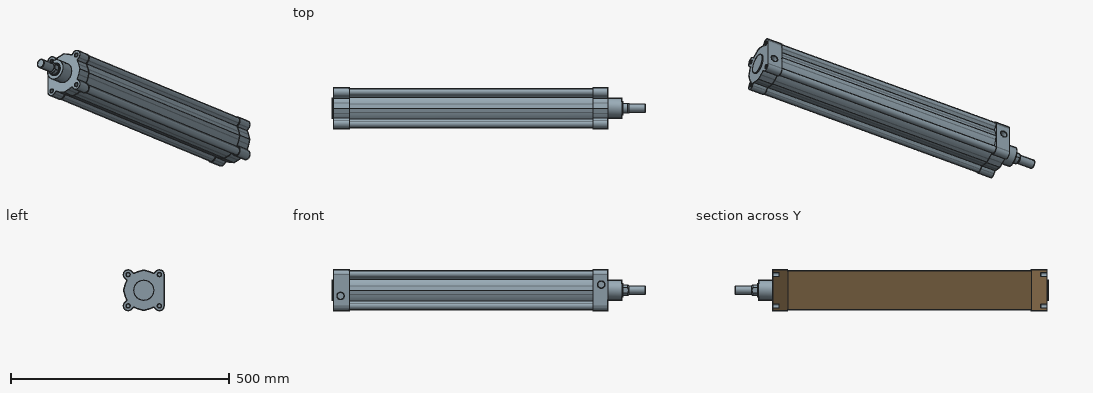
import cadquery as cq
import math

REAR_SPIGOT_LENGTH = 3.0
REAR_CAP_END = 39.5
TUBE_END = 597.5
FRONT_CAP_END = 632.0
NOSE_END = 664.0
NOSE_LIP_END = 666.0
SHOULDER_END = 681.0
ROD_END = 718.0

CAP_WIDTH = 94.0
BOLT_OFFSET = 36.0
CAP_LOBE_RADIUS = CAP_WIDTH / 2 - BOLT_OFFSET
CAP_CORE_DIAMETER = 90.0
CAP_RIDGE_HEIGHT = 47.0

TUBE_RIDGE_HEIGHT = 45.0
TUBE_CORE_DIAMETER = 88.0
TUBE_LOBE_RADIUS = 8.5
TUBE_LOBE_OFFSET = TUBE_RIDGE_HEIGHT - TUBE_LOBE_RADIUS

BOLT_MOUTH_RADIUS = 5.0
BOLT_HOLE_DEPTH = 14.5
PORT_MOUTH_RADIUS = 8.5
PORT_DEPTH = 14.5
PORT_HEIGHT = 13.0
PORT_REAR_X = 19.5
PORT_FRONT_X = 617.0
MOUTH_CHAMFER = 1.0

REAR_SPIGOT_RADIUS = 23.0
NOSE_RADIUS = 23.0
NOSE_LIP_RADIUS = 15.0
SHOULDER_DIAMETER = 25.0
SHOULDER_RADIUS = SHOULDER_DIAMETER / 2
SHOULDER_CONE_LENGTH = 3.5
ACROSS_FLATS = 22.0
THREAD_RADIUS = 10.0
TIP_CHAMFER = 1.1

BOLT_CENTRES = [
    (y, z)
    for y in (-BOLT_OFFSET, BOLT_OFFSET)
    for z in (-BOLT_OFFSET, BOLT_OFFSET)
]


def cylinder(radius, start, end):
    """Round bar along the cylinder axis."""
    return cq.Workplane("YZ").workplane(offset=start).circle(radius).extrude(end - start)


def lobed_bar(core_radius, ridge_height, lobe_offset, lobe_radius, start, end):
    """Round core with a shallow ridge on each side and a round-ended arm on each diagonal."""
    length = end - start
    bar = cylinder(core_radius, start, end)

    tangent_angle = math.acos(core_radius / ridge_height)
    tangent_y = core_radius * math.sin(tangent_angle)
    tangent_z = core_radius * math.cos(tangent_angle)
    ridge = (
        cq.Workplane("YZ")
        .workplane(offset=start)
        .polyline([(0, 0), (tangent_y, tangent_z), (0, ridge_height), (-tangent_y, tangent_z)])
        .close()
        .extrude(length)
    )
    for angle in (0, 90, 180, 270):
        bar = bar.union(ridge.rotate((0, 0, 0), (1, 0, 0), angle))

    arm_length = 2 * (math.hypot(lobe_offset, lobe_offset) + lobe_radius)
    for angle in (45, 135):
        arm = (
            cq.Workplane("YZ")
            .workplane(offset=start)
            .slot2D(arm_length, 2 * lobe_radius, angle)
            .extrude(length)
        )
        bar = bar.union(arm)
    return bar


def cap_block(start, end):
    """Lobed cap whose -Y side is filled out to a flat port face."""
    port_side = (
        cq.Workplane("XY", origin=(start, -CAP_WIDTH / 2, 0))
        .box(end - start, CAP_WIDTH / 2, 2 * BOLT_OFFSET, centered=(False, False, True))
    )
    block = lobed_bar(
        CAP_CORE_DIAMETER / 2, CAP_RIDGE_HEIGHT, BOLT_OFFSET, CAP_LOBE_RADIUS, start, end
    )
    return block.union(port_side)


def blind_hole(mouth, inward, mouth_radius, depth):
    """Cutter for a blind hole with a chamfered mouth, running along `inward`."""
    plane = cq.Plane(origin=mouth, normal=inward)
    bore_radius = mouth_radius - MOUTH_CHAMFER
    bore = cq.Workplane(plane).circle(bore_radius).extrude(depth)
    mouth_cone = (
        cq.Workplane(plane)
        .circle(mouth_radius)
        .workplane(offset=MOUTH_CHAMFER)
        .circle(bore_radius)
        .loft(ruled=True)
    )
    return bore.union(mouth_cone)


def drill_bolt_holes(cap, face_x, inward):
    """Sink one hole into each lobe of a cap from its outer end face."""
    for y, z in BOLT_CENTRES:
        cap = cap.cut(blind_hole((face_x, y, z), inward, BOLT_MOUTH_RADIUS, BOLT_HOLE_DEPTH))
    return cap


def drill_port(cap, x, z):
    """Sink the air port into the flat -Y face of a cap."""
    return cap.cut(blind_hole((x, -CAP_WIDTH / 2, z), (0, 1, 0), PORT_MOUTH_RADIUS, PORT_DEPTH))


def make_rear_cap():
    """Rear cap with a low round spigot on its end face."""
    cap = cap_block(REAR_SPIGOT_LENGTH, REAR_CAP_END)
    cap = cap.union(cylinder(REAR_SPIGOT_RADIUS, 0, REAR_CAP_END))
    cap = drill_bolt_holes(cap, REAR_SPIGOT_LENGTH, (1, 0, 0))
    return drill_port(cap, PORT_REAR_X, -PORT_HEIGHT)


def make_tube():
    """Profiled tube clamped between the two caps."""
    return lobed_bar(
        TUBE_CORE_DIAMETER / 2,
        TUBE_RIDGE_HEIGHT,
        TUBE_LOBE_OFFSET,
        TUBE_LOBE_RADIUS,
        REAR_CAP_END,
        TUBE_END,
    )


def make_front_cap():
    """Front cap with the rod nose and its thin end lip."""
    cap = cap_block(TUBE_END, FRONT_CAP_END)
    cap = cap.union(cylinder(NOSE_RADIUS, TUBE_END, NOSE_END))
    cap = cap.union(cylinder(NOSE_LIP_RADIUS, TUBE_END, NOSE_LIP_END))
    cap = drill_bolt_holes(cap, FRONT_CAP_END, (-1, 0, 0))
    return drill_port(cap, PORT_FRONT_X, PORT_HEIGHT)


def make_piston_rod():
    """Shoulder with two wrench flats and a cone, then the rod thread; the rod butts against the nose."""
    cone_start = SHOULDER_END - SHOULDER_CONE_LENGTH
    shoulder = (
        cq.Workplane("XY")
        .moveTo(NOSE_LIP_END, 0)
        .lineTo(NOSE_LIP_END, SHOULDER_RADIUS)
        .lineTo(cone_start, SHOULDER_RADIUS)
        .lineTo(SHOULDER_END, THREAD_RADIUS)
        .lineTo(SHOULDER_END, 0)
        .close()
        .revolve(360, (0, 0, 0), (1, 0, 0))
    )
    between_flats = (
        cq.Workplane("XY", origin=(NOSE_LIP_END, 0, 0))
        .box(
            SHOULDER_END - NOSE_LIP_END,
            ACROSS_FLATS,
            SHOULDER_DIAMETER,
            centered=(False, True, True),
        )
    )
    thread = cylinder(THREAD_RADIUS, NOSE_LIP_END, ROD_END).faces(">X").chamfer(TIP_CHAMFER)
    return shoulder.intersect(between_flats).union(thread)


rear_cap = make_rear_cap()
tube = make_tube()
front_cap = make_front_cap()
piston_rod = make_piston_rod()

result = cq.Compound.makeCompound(
    [rear_cap.val(), tube.val(), front_cap.val(), piston_rod.val()]
)